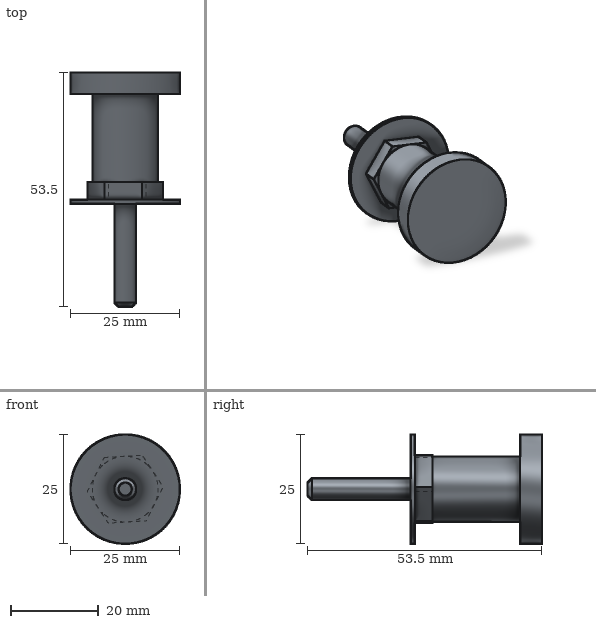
import cadquery as cq
import math


flange_diameter = 25.0
flange_thickness = 1.0
hex_across_flats = 15.0
hex_thickness = 4.0
hex_tilt = 3.5
body_diameter = hex_across_flats
body_length = 20.0
head_diameter = flange_diameter
head_thickness = 5.0
pin_diameter = 5.0
pin_length = 23.5
pin_chamfer = 1.0

hex_start = flange_thickness
body_start = hex_start + hex_thickness
head_start = body_start + body_length


def section_at(y):
    """Workplane across the axis at the given Y, with its normal toward +Y and local x along +X."""
    return cq.Workplane(cq.Plane(origin=(0, y, 0), xDir=(1, 0, 0), normal=(0, 1, 0)))


def disc(start, diameter, length):
    """Cylinder on the Y axis that runs toward +Y from start."""
    return section_at(start).circle(diameter / 2).extrude(length)


def hex_collar():
    """Hexagonal collar, turned slightly about the Y axis."""
    across_corners = hex_across_flats / math.cos(math.pi / 6)
    collar = section_at(hex_start).polygon(6, across_corners).extrude(hex_thickness)
    return collar.rotate((0, 0, 0), (0, 1, 0), -hex_tilt)


def pin():
    """Pin with a chamfered tip at its -Y end."""
    return disc(-pin_length, pin_diameter, pin_length).faces("<Y").chamfer(pin_chamfer)


result = (
    disc(0, flange_diameter, flange_thickness)
    .union(hex_collar())
    .union(disc(body_start, body_diameter, body_length))
    .union(disc(head_start, head_diameter, head_thickness))
    .union(pin())
)